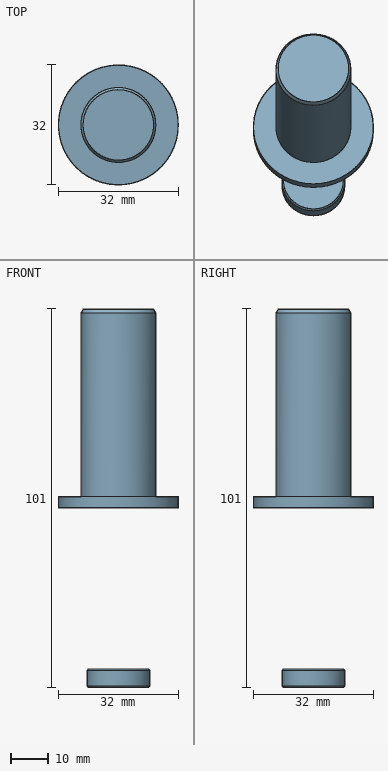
import cadquery as cq

TOTAL_HEIGHT = 101.0
FLANGE_DIAMETER = 32.0
FLANGE_THICKNESS = 3.0
SHAFT_DIAMETER = 20.0
SHAFT_LENGTH = 50.0
SHAFT_CHAMFER_HEIGHT = 1.0
SHAFT_CHAMFER_INSET = 0.6

DISC_DIAMETER = 16.8
DISC_THICKNESS = 5.0
DISC_CHAMFER = 0.4

FLANGE_BOTTOM = TOTAL_HEIGHT - SHAFT_LENGTH - FLANGE_THICKNESS


def make_pin():
    """Flange with a shaft on top, chamfered at the shaft's free end."""
    flange = (
        cq.Workplane("XY", origin=(0, 0, FLANGE_BOTTOM))
        .circle(FLANGE_DIAMETER / 2)
        .extrude(FLANGE_THICKNESS)
    )
    shaft = (
        cq.Workplane("XY", origin=(0, 0, FLANGE_BOTTOM + FLANGE_THICKNESS))
        .circle(SHAFT_DIAMETER / 2)
        .extrude(SHAFT_LENGTH)
        .faces(">Z")
        .chamfer(SHAFT_CHAMFER_HEIGHT, SHAFT_CHAMFER_INSET)
    )
    return flange.union(shaft)


def make_disc():
    """Round disc chamfered around both flat faces."""
    return (
        cq.Workplane("XY")
        .circle(DISC_DIAMETER / 2)
        .extrude(DISC_THICKNESS)
        .faces("<Z or >Z")
        .chamfer(DISC_CHAMFER)
    )


pin = make_pin()
disc = make_disc()

result = cq.Compound.makeCompound([pin.val(), disc.val()])